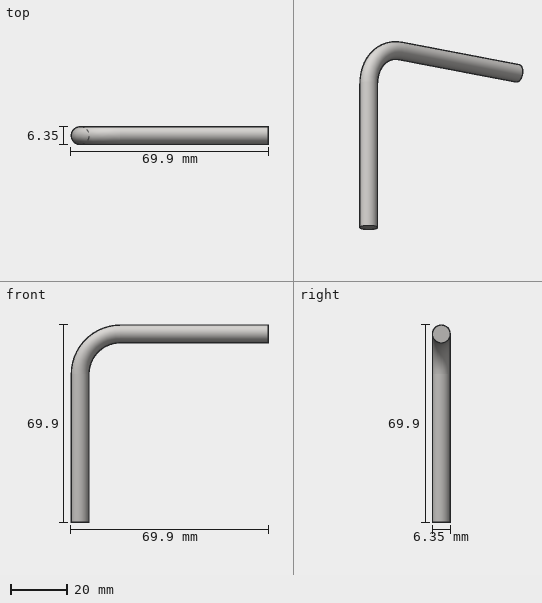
import cadquery as cq

overall_length = 69.9
rod_diameter = 6.35
bend_radius = 14.25

rod_radius = rod_diameter / 2
leg_length = overall_length - rod_radius - bend_radius

centreline = (
    cq.Workplane("XZ")
    .lineTo(0, leg_length)
    .radiusArc((bend_radius, leg_length + bend_radius), bend_radius)
    .lineTo(bend_radius + leg_length, leg_length + bend_radius)
)

result = cq.Workplane("XY").circle(rod_radius).sweep(centreline)